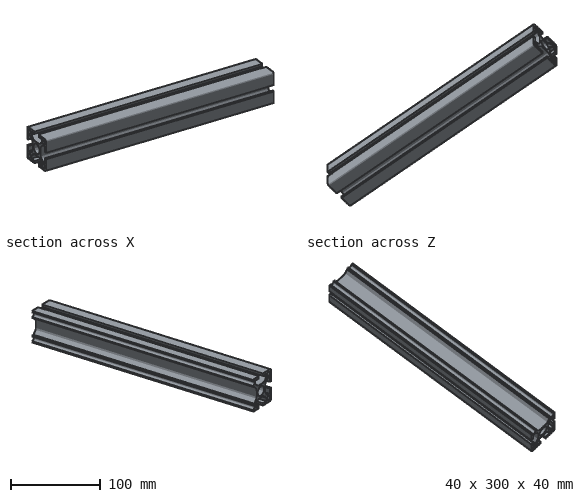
import cadquery as cq
import math

SIZE = 40.0
LENGTH = 300.0
CORNER_RADIUS = 3.0

SLOT_OPENING = 8.2
LIP_THICKNESS = 3.0
POCKET_WIDTH = 21.0
HUB_WIDTH = 17.0
WEB_OFFSET = 2.5
WEB_ANGLE = math.radians(45)
FLOOR_RADIUS = 5.0

CENTRE_BORE = 12.0
CORNER_BORE = 5.0
CORNER_BORE_PITCH = 30.0

ORIGIN = (0, 0, 0)
AXIAL_DIRECTION = (0, 1, 0)


def section_plane():
    """Cross-section plane, sketched in X and Z, at the -Y end of the bar."""
    return cq.Workplane("XZ", origin=(0, -LENGTH / 2, 0))


def extruded(section):
    """Extrude a section along +Y over the full length."""
    return section.extrude(-LENGTH)


def bar():
    """Solid square bar with rounded long edges."""
    blank = extruded(section_plane().rect(SIZE, SIZE))
    return blank.edges("|Y").fillet(CORNER_RADIUS)


def slot_cutter():
    """Void of the T-slot in the top (+Z) side."""
    outer = SIZE / 2
    ceiling = outer - LIP_THICKNESS
    floor = HUB_WIDTH / 2
    half_opening = SLOT_OPENING / 2
    half_pocket = POCKET_WIDTH / 2

    flank_top = half_pocket + WEB_OFFSET
    flank_foot = floor - WEB_OFFSET
    arc_start_x = flank_foot - FLOOR_RADIUS * math.tan(WEB_ANGLE / 2)
    arc_mid_x = arc_start_x + FLOOR_RADIUS * math.sin(WEB_ANGLE / 2)
    arc_mid_z = floor + FLOOR_RADIUS * (1 - math.cos(WEB_ANGLE / 2))
    arc_end_x = arc_start_x + FLOOR_RADIUS * math.sin(WEB_ANGLE)
    arc_end_z = floor + FLOOR_RADIUS * (1 - math.cos(WEB_ANGLE))

    section = (
        section_plane()
        .moveTo(-half_opening, outer)
        .lineTo(-half_opening, ceiling)
        .lineTo(-half_pocket, ceiling)
        .lineTo(-half_pocket, flank_top)
        .lineTo(-arc_end_x, arc_end_z)
        .threePointArc((-arc_mid_x, arc_mid_z), (-arc_start_x, floor))
        .lineTo(arc_start_x, floor)
        .threePointArc((arc_mid_x, arc_mid_z), (arc_end_x, arc_end_z))
        .lineTo(half_pocket, flank_top)
        .lineTo(half_pocket, ceiling)
        .lineTo(half_opening, ceiling)
        .lineTo(half_opening, outer)
        .close()
    )
    return extruded(section)


def bores():
    """Centre bore and the four corner bores."""
    centre = extruded(section_plane().circle(CENTRE_BORE / 2))
    corners = extruded(
        section_plane()
        .rect(CORNER_BORE_PITCH, CORNER_BORE_PITCH, forConstruction=True)
        .vertices()
        .circle(CORNER_BORE / 2)
    )
    return centre.union(corners)


result = bar()
for angle in (0, 90, 180, 270):
    result = result.cut(slot_cutter().rotate(ORIGIN, AXIAL_DIRECTION, angle))
result = result.cut(bores())